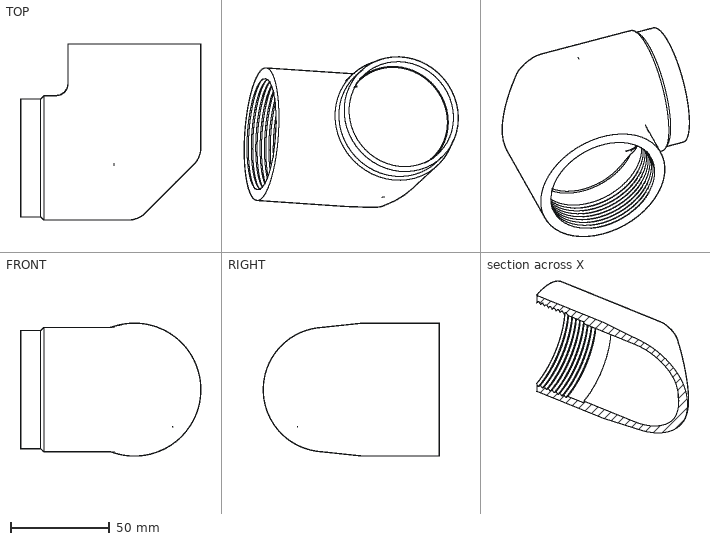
import cadquery as cq
import math


arm_reach = 58.0
spigot_arm_dia = 63.5
spigot_arm_radius = spigot_arm_dia / 2
socket_arm_dia = 67.8
socket_arm_radius = socket_arm_dia / 2

spigot_dia = 60.3
spigot_length = 10.3
shoulder_height = (spigot_arm_dia - spigot_dia) / 2

flat_slope = math.radians(6.0)
flat_start_y = -spigot_arm_radius * math.sin(flat_slope)
flat_start_z = spigot_arm_radius * math.cos(flat_slope)
flat_edge_round = 9.9

throat_plane_x = -10.3
throat_round = 6.0

mitre_offset = 33.7
mitre_round = 12.5

bore_dia = 54.1
entry_bore_dia = 55.1
entry_bore_depth = 10.0
bore_mitre_offset = 26.4
bore_mitre_round = 9.5
bore_throat_round = 12.0

thread_minor_dia = 56.6
thread_pitch = 2.309
thread_depth = 1.48
thread_count = 8
socket_depth = 28.0

tolerance = 1e-3
room = 4 * arm_reach


def x_cylinder(diameter, start, end):
    """Cylinder about the X axis from x = start to x = end, with its seam on the -Y side."""
    cylinder = cq.Workplane("YZ").workplane(offset=start).circle(diameter / 2).extrude(end - start)
    return cylinder.rotate((0, 0, 0), (1, 0, 0), 180)


def y_cylinder(diameter, start, end):
    """Cylinder about the Y axis from y = start to y = end."""
    return cq.Workplane("XZ").workplane(offset=-start).circle(diameter / 2).extrude(start - end)


def beyond_x(x, side):
    """Half-space block on the + or - side of the plane at x."""
    return cq.Workplane("XY").box(room, room, room).translate((x + side * room / 2, 0, 0))


def cut_mitre(body, offset):
    """Remove everything beyond the plane x - y = offset."""
    beyond = (
        cq.Workplane("XY")
        .polyline([(offset - room, -room), (offset + room, room), (offset + room, -room)])
        .close()
        .extrude(room, both=True)
    )
    return body.cut(beyond)


def on_mitre(edge, offset):
    """True if the edge lies on the plane x - y = offset."""
    points = edge.positions([0, 0.3, 0.6, 1])
    return all(abs(point.x - point.y - offset) < tolerance for point in points)


def round_edges(body, radius, wanted):
    """Fillet the edges that the function wanted() picks."""
    edges = [edge for edge in body.edges().vals() if wanted(edge)]
    return body.newObject(edges).fillet(radius)


def mitred_corner(body, offset, radius):
    """Cut the outer corner at 45 degrees and round the rim of the cut."""
    cut = cut_mitre(body, offset)
    return round_edges(cut, radius, lambda edge: on_mitre(edge, offset))


def flared_prism():
    """Bar along X: the spigot arm's round on -Y, opening along the two flats towards +Y."""
    end_z = flat_start_z + (arm_reach - flat_start_y) * math.tan(flat_slope)
    return (
        cq.Workplane("YZ")
        .workplane(offset=-arm_reach)
        .moveTo(flat_start_y, flat_start_z)
        .lineTo(arm_reach, end_z)
        .lineTo(arm_reach, -end_z)
        .lineTo(flat_start_y, -flat_start_z)
        .threePointArc((-spigot_arm_radius, 0), (flat_start_y, flat_start_z))
        .close()
        .extrude(2 * arm_reach)
    )


def is_flat_edge(edge):
    """Curved edges, above and below, where the flared faces meet the socket cylinder."""
    box = edge.BoundingBox()
    crosses_middle = box.zmin < 0 < box.zmax
    near_flats = box.ymax < socket_arm_radius and box.xmin < socket_arm_radius / 2
    is_curved = edge.geomType() != "LINE"
    return near_flats and is_curved and not crosses_middle


def outer_corner():
    """Socket arm and corner, mitred, with the flats' edges rounded."""
    block = y_cylinder(socket_arm_dia, -arm_reach, arm_reach).intersect(flared_prism()).clean()
    mitred = mitred_corner(block, mitre_offset, mitre_round)
    return round_edges(mitred, flat_edge_round, is_flat_edge)


def spigot_arm():
    """Spigot with its shoulder, and the arm up to the throat plane."""
    shoulder_x = spigot_length - arm_reach
    arm = x_cylinder(spigot_arm_dia, shoulder_x, throat_plane_x).faces("<X").chamfer(shoulder_height)
    return arm.union(x_cylinder(spigot_dia, -arm_reach, shoulder_x))


def is_throat_edge(edge):
    """The two edges where the arms meet at the inside of the elbow."""
    box = edge.BoundingBox()
    reaches_spigot_side = abs(box.ymax - spigot_arm_radius) < tolerance
    reaches_socket_side = abs(box.xmin + socket_arm_radius) < tolerance
    return box.ymin > 0 and reaches_spigot_side and reaches_socket_side


def outer_body():
    """Solid elbow without bores."""
    corner = outer_corner()
    above_flat_start = cq.Workplane("XY").box(room, room, room).translate((0, flat_start_y + room / 2, 0))
    socket_side = corner.intersect(beyond_x(throat_plane_x, -1)).intersect(above_flat_start)
    throat_side = round_edges(socket_side.union(spigot_arm()).clean(), throat_round, is_throat_edge)
    return throat_side.union(corner.intersect(beyond_x(throat_plane_x, 1))).clean()


def is_bore_throat_edge(edge):
    """Edges where the two bores cross at the inside of the elbow."""
    return edge.geomType() == "ELLIPSE" and edge.Center().x < 0 < edge.Center().y


def bore():
    """Flow passage: two equal bores joined by a ball, with the ball's outer side mitred."""
    ball = cq.Workplane("XY").sphere(bore_dia / 2).rotate((0, 0, 0), (0, 0, 1), 135)
    passage = (
        x_cylinder(bore_dia, -2 * arm_reach, 0)
        .union(y_cylinder(bore_dia, 0, 2 * arm_reach))
        .union(ball)
        .clean()
    )
    mitred = mitred_corner(passage, bore_mitre_offset, bore_mitre_round)
    return round_edges(mitred, bore_throat_round, is_bore_throat_edge)


def threaded_socket():
    """Socket bore with a zigzag outside: one V groove per pitch, starting at the socket's mouth."""
    crest = thread_minor_dia / 2
    root = crest + thread_depth
    points = [(0, arm_reach), (crest, arm_reach)]
    for index in range(thread_count):
        groove_start = arm_reach - index * thread_pitch
        points.append((root, groove_start - thread_pitch / 2))
        points.append((crest, groove_start - thread_pitch))
    points.append((crest, arm_reach - socket_depth))
    points.append((0, arm_reach - socket_depth))
    return cq.Workplane("XY").polyline(points).close().revolve(360, (0, 0, 0), (0, 1, 0))


result = outer_body()
result = result.cut(bore())
result = result.cut(x_cylinder(entry_bore_dia, -arm_reach, entry_bore_depth - arm_reach))
result = result.cut(threaded_socket())